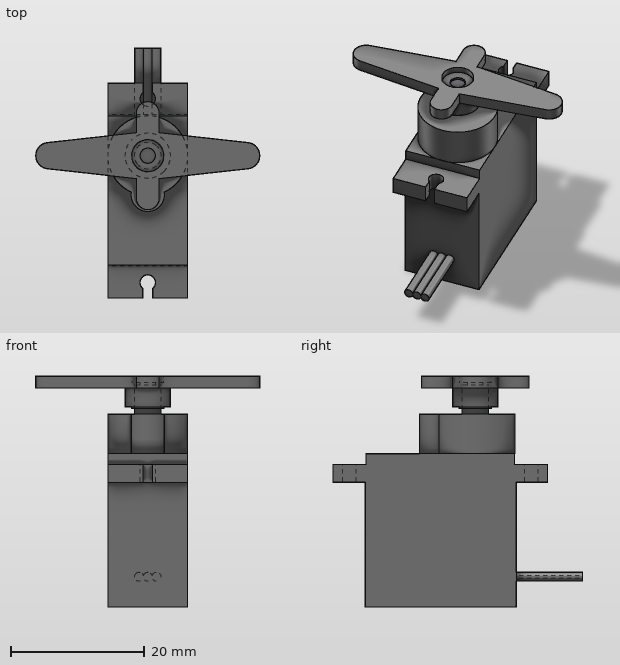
import cadquery as cq
import math


case_width = 12.0
case_front = -16.55
case_back = 6.2
lid_front = -16.45
lid_back = 5.95
lid_top = 23.1

flange_front = -21.4
flange_back = 10.9
flange_bottom = 18.78
flange_top = 21.48
screw_hole_diameter = 2.3
screw_hole_inset = 2.33
slot_width = 1.45

gear_housing_top = 29.03
gear_housing_diameter = case_width
lobe_diameter = 5.0
lobe_offset = 5.9
shaft_diameter = 4.0
shaft_top = 33.42

wire_count = 3
wire_diameter = 1.35
wire_pitch = 1.3
wire_height = 4.58
wire_end = 16.15

horn_top = 34.75
arm_thickness = 1.8
arm_bottom = horn_top - arm_thickness
long_arm_span = 33.7
long_arm_reach = long_arm_span / 2
long_arm_tip_radius = 2.0
long_arm_root_half_width = 3.45
short_arm_reach = 8.1
short_arm_width = 3.4
hub_diameter = 6.8
hub_bottom = 30.1
collar_diameter = 4.9
collar_bottom = 29.85
recess_diameter = 4.8
recess_depth = 0.98
horn_screw_diameter = 2.3


def cylinder(diameter, bottom, top, y=0):
    """Upright cylinder centred on X = 0."""
    return cq.Workplane("XY").workplane(offset=bottom).center(0, y).circle(diameter / 2).extrude(top - bottom)


def case_block(front, back, bottom, top):
    """Full-width block of the case between two Y and two Z positions."""
    size = (case_width, back - front, top - bottom)
    return cq.Workplane("XY").box(*size, centered=(True, False, False)).translate((0, front, bottom))


def keyhole(edge, inward):
    """Screw hole with a slot open to the flange end; inward is the Y direction towards the case."""
    hole_y = edge + inward * screw_hole_inset
    hole = cylinder(screw_hole_diameter, flange_bottom, flange_top, hole_y)
    slot = (
        cq.Workplane("XY")
        .workplane(offset=flange_bottom)
        .center(0, (edge + hole_y) / 2)
        .rect(slot_width, screw_hole_inset)
        .extrude(flange_top - flange_bottom)
    )
    return hole.union(slot)


def make_wire(x):
    """One wire running back from the rear face of the case."""
    return (
        cq.Workplane("XZ", origin=(x, case_back, wire_height))
        .circle(wire_diameter / 2)
        .extrude(case_back - wire_end)
    )


def make_servo():
    servo = case_block(case_front, case_back, 0, flange_bottom)
    servo = servo.union(case_block(flange_front, flange_back, flange_bottom, flange_top))
    servo = servo.union(case_block(lid_front, lid_back, flange_top, lid_top))
    for edge, inward in ((flange_front, 1), (flange_back, -1)):
        servo = servo.cut(keyhole(edge, inward))

    servo = servo.union(cylinder(gear_housing_diameter, lid_top, gear_housing_top))
    servo = servo.union(cylinder(lobe_diameter, lid_top, gear_housing_top, -lobe_offset))
    servo = servo.union(cylinder(shaft_diameter, gear_housing_top, shaft_top))

    for index in range(wire_count):
        servo = servo.union(make_wire((index - (wire_count - 1) / 2) * wire_pitch))
    return servo


def make_long_arms():
    """Two opposite tapered arms whose straight sides run tangent into round tips."""
    root_x = short_arm_width / 2
    root_y = long_arm_root_half_width
    tip_center = long_arm_reach - long_arm_tip_radius
    run = tip_center - root_x
    taper = math.atan2(root_y, run) - math.asin(long_arm_tip_radius / math.hypot(run, root_y))
    tangent_x = tip_center + long_arm_tip_radius * math.sin(taper)
    tangent_y = long_arm_tip_radius * math.cos(taper)
    return (
        cq.Workplane("XY")
        .workplane(offset=arm_bottom)
        .moveTo(-root_x, root_y)
        .lineTo(root_x, root_y)
        .lineTo(tangent_x, tangent_y)
        .threePointArc((long_arm_reach, 0), (tangent_x, -tangent_y))
        .lineTo(root_x, -root_y)
        .lineTo(-root_x, -root_y)
        .lineTo(-tangent_x, -tangent_y)
        .threePointArc((-long_arm_reach, 0), (-tangent_x, tangent_y))
        .close()
        .extrude(arm_thickness)
    )


def make_short_arms():
    """Two opposite straight arms along Y with round ends."""
    return (
        cq.Workplane("XY")
        .workplane(offset=arm_bottom)
        .slot2D(2 * short_arm_reach, short_arm_width, 90)
        .extrude(arm_thickness)
    )


def make_horn():
    horn = make_long_arms().union(make_short_arms())
    horn = horn.union(cylinder(hub_diameter, hub_bottom, arm_bottom))
    horn = horn.union(cylinder(collar_diameter, collar_bottom, hub_bottom))
    horn = horn.cut(cylinder(shaft_diameter, collar_bottom, shaft_top))
    recess_floor = horn_top - recess_depth
    horn = horn.cut(cylinder(recess_diameter, recess_floor, horn_top))
    return horn.cut(cylinder(horn_screw_diameter, shaft_top, recess_floor))


servo = make_servo()
horn = make_horn()

result = cq.Compound.makeCompound([servo.val(), horn.val()])